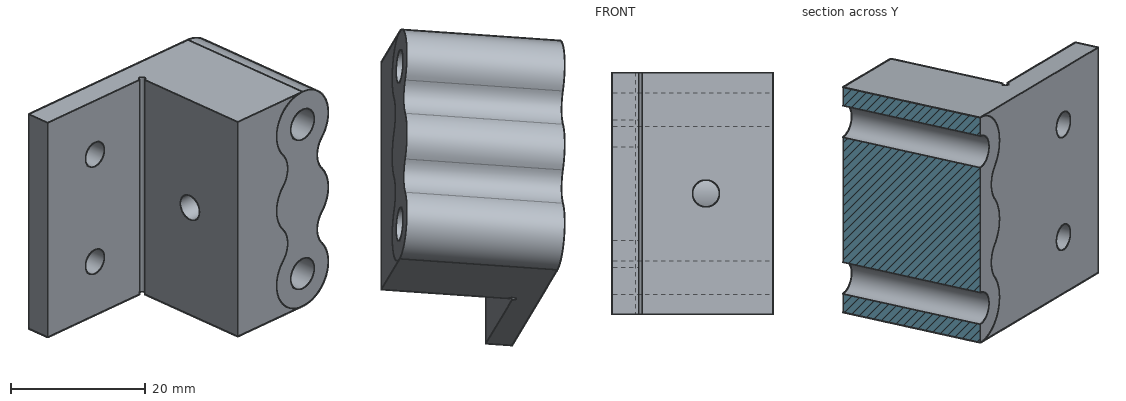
import cadquery as cq
import math

WIDTH = 24.0
LENGTH = 39.25
HEIGHT = 36.0

LOBE_RADIUS = 5.5
WAIST_RADIUS = 4.0
LINK_HOLE_DIAMETER = 5.0
LOBE_Y = LENGTH - LOBE_RADIUS
LOBE_PITCH = HEIGHT / 2 - LOBE_RADIUS

PLATE_THICKNESS = 4.0
BLOCK_FRONT_Y = 20.0
RELIEF_RADIUS = 0.5
HOLE_DIAMETER = 4.0
PLATE_HOLE_Y = 10.0
PLATE_HOLE_SPACING = 17.98
BLOCK_HOLE_X = (PLATE_THICKNESS + WIDTH) / 2

WAIST_CENTER_OFFSET = math.sqrt((LOBE_RADIUS + WAIST_RADIUS) ** 2 - (LOBE_PITCH / 2) ** 2)
WAIST_HALF_WIDTH = WAIST_CENTER_OFFSET - WAIST_RADIUS
TANGENT_RATIO = LOBE_RADIUS / (LOBE_RADIUS + WAIST_RADIUS)
TANGENT_Y = TANGENT_RATIO * WAIST_CENTER_OFFSET
TANGENT_Z = TANGENT_RATIO * LOBE_PITCH / 2


def add_wavy_side(sketch, side):
    """Draw one side of the link: side -1 faces -Y and runs upward, +1 faces +Y and runs downward."""
    upward = -side
    lobe_y = LOBE_Y + side * LOBE_RADIUS
    waist_y = LOBE_Y + side * WAIST_HALF_WIDTH
    tangent_y = LOBE_Y + side * TANGENT_Y
    for step in (-1, 0):
        lobe_z = step * LOBE_PITCH
        waist_z = lobe_z + LOBE_PITCH / 2
        next_lobe_z = lobe_z + LOBE_PITCH
        sketch = sketch.threePointArc(
            (lobe_y, upward * lobe_z), (tangent_y, upward * (lobe_z + TANGENT_Z))
        )
        sketch = sketch.threePointArc(
            (waist_y, upward * waist_z), (tangent_y, upward * (next_lobe_z - TANGENT_Z))
        )
    return sketch.threePointArc((lobe_y, upward * LOBE_PITCH), (LOBE_Y, upward * HEIGHT / 2))


def make_link():
    outline = cq.Workplane("YZ").moveTo(LOBE_Y, -HEIGHT / 2)
    outline = add_wavy_side(outline, -1)
    outline = add_wavy_side(outline, 1)
    body = outline.close().extrude(WIDTH)
    holes = (
        cq.Workplane("YZ")
        .pushPoints([(LOBE_Y, -LOBE_PITCH), (LOBE_Y, LOBE_PITCH)])
        .circle(LINK_HOLE_DIAMETER / 2)
        .extrude(WIDTH)
    )
    return body.cut(holes)


def make_bracket():
    outline = cq.Workplane("YZ").moveTo(0, HEIGHT / 2).lineTo(0, -HEIGHT / 2).lineTo(LOBE_Y, -HEIGHT / 2)
    body = add_wavy_side(outline, -1).close().extrude(WIDTH)

    bottom = cq.Workplane("XY").workplane(offset=-HEIGHT / 2)
    open_space = (
        bottom.moveTo(PLATE_THICKNESS, 0)
        .rect(WIDTH - PLATE_THICKNESS, BLOCK_FRONT_Y, centered=False)
        .extrude(HEIGHT)
    )
    relief = bottom.moveTo(PLATE_THICKNESS, BLOCK_FRONT_Y).circle(RELIEF_RADIUS).extrude(HEIGHT)

    plate_holes = (
        cq.Workplane("YZ")
        .pushPoints([(PLATE_HOLE_Y, side * PLATE_HOLE_SPACING / 2) for side in (-1, 1)])
        .circle(HOLE_DIAMETER / 2)
        .extrude(PLATE_THICKNESS)
    )
    block_hole = (
        cq.Workplane("XZ", origin=(BLOCK_HOLE_X, BLOCK_FRONT_Y, 0))
        .circle(HOLE_DIAMETER / 2)
        .extrude(BLOCK_FRONT_Y - LOBE_Y)
    )
    return body.cut(open_space).cut(relief).cut(plate_holes).cut(block_hole)


link = make_link()
bracket = make_bracket()

result = cq.Compound.makeCompound([link.solids().val(), bracket.solids().val()])